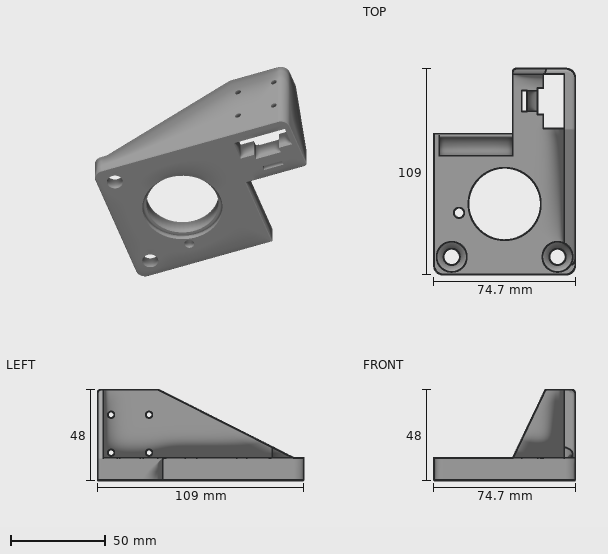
import cadquery as cq

width = 74.7
length = 109.0
height = 48.0

plate_height = 12.0
plate_length = 74.5
arm_left = 41.6
corner_radius = 5.0
bottom_chamfer = 0.4

side_wall = 6.0
back_wall = 3.0
rim_radius = 2.0
side_slope_top = 76.8
side_slope_foot = 5.3
back_slope_top = 58.9
slope_break_radius = 1.4
edge_bevel_width = 0.1
edge_bevel_height = 0.7

trough_radius = 4.9
lip_radius = 1.0
trough_left = 2.9

bore_diameter = 38.1
relief_diameter = 42.4
relief_depth = 3.0
screw_pitch = 55.9
screw_diameter = 8.5
head_diameter = 16.0
head_recess = 0.5
pin_diameter = 5.3
pin_x = 13.3
pin_y = 32.7

mount_diameter = 3.3
mount_pitch = 20.0
mount_back_y = 101.8
mount_low_z = 14.7

opening_left = 57.9
opening_front = 77.2
step_left = 54.8
step_front = 84.7
step_back = 98.6
slot_left = 46.5
slot_foot = 49.1
slot_ridge = 11.3
slot_front = 86.3
slot_back = 97.3

inner_x = width - side_wall
inner_y = length - back_wall
center = width / 2


def block(x0, x1, y0, y1, z0, z1):
    """Axis-aligned box between two opposite corners."""
    return cq.Workplane("XY").box(x1 - x0, y1 - y0, z1 - z0, centered=False).translate((x0, y0, z0))


def make_plate():
    """Wide part of the plate, with rounded front corners and a rounded back edge."""
    plate = block(0, width, 0, plate_length, 0, plate_height).edges("|Z and <Y").fillet(corner_radius)
    return plate.edges(">Y and >Z").fillet(lip_radius)


def make_walled_arm():
    """Narrow arm and both walls, with the outer edges of the walls rounded."""
    slope_run = (side_slope_top - side_slope_foot) / (height - plate_height)
    slope_end = side_slope_top - slope_run * height
    front_profile = [
        (arm_left, 0), (width, 0), (width, height), (back_slope_top, height),
        (arm_left + edge_bevel_width, plate_height), (arm_left, plate_height - edge_bevel_height),
    ]
    side_profile = [(slope_end, 0), (length, 0), (length, height), (side_slope_top, height)]
    arm = cq.Workplane("XZ", origin=(0, length, 0)).polyline(front_profile).close().extrude(length - slope_end)
    side = cq.Workplane("YZ").polyline(side_profile).close().extrude(width)
    arm = arm.intersect(side.faces(">Z").edges("<Y").fillet(slope_break_radius))
    arm = arm.edges("|Z and >X and >Y").fillet(corner_radius)

    top_edges = arm.edges(">Z and (>Y or >X)")
    side_slope_edges = arm.faces(">X").edges("not (|Y or |Z)")
    back_left_edges = arm.faces(">Y").edges("not |X").edges("not >X")
    arm = top_edges.add(side_slope_edges).add(back_left_edges).fillet(rim_radius)

    arm = arm.cut(block(0, inner_x, slope_end, inner_y, plate_height, height))
    return arm.cut(block(0, width, slope_end, center, 0, plate_height))


def make_trough():
    """Round trough along X, with material removed to leave a half-round lip behind it."""
    axis_y = plate_length - 2 * lip_radius - trough_radius
    axis_z = plate_height - lip_radius
    run = arm_left - trough_left
    trough = (
        cq.Workplane("YZ", origin=(trough_left, 0, 0)).center(axis_y, axis_z)
        .circle(trough_radius).extrude(run)
    )
    above = block(trough_left, arm_left, axis_y - trough_radius, plate_length - lip_radius, axis_z, plate_height)
    lip = (
        cq.Workplane("YZ", origin=(trough_left, 0, 0)).center(plate_length - lip_radius, axis_z)
        .circle(lip_radius).extrude(run)
    )
    return trough.union(above).cut(lip)


def make_screw_hole(x, y):
    """Countersunk hole whose head clearance continues upwards through the side wall."""
    head_radius = head_diameter / 2
    screw_radius = screw_diameter / 2
    cone_top = plate_height - head_recess
    cone_bottom = cone_top - (head_radius - screw_radius)
    profile = [
        (0, 0), (screw_radius, 0), (screw_radius, cone_bottom), (head_radius, cone_top),
        (head_radius, height), (0, height),
    ]
    hole = cq.Workplane("XZ").polyline(profile).close().revolve(360, (0, 0, 0), (0, 1, 0))
    return hole.translate((x, y, 0))


def make_opening():
    """Opening beside the side wall, its step and the slot with one sloped side."""
    opening = block(opening_left, inner_x, opening_front, inner_y, 0, plate_height)
    step = block(step_left, opening_left, step_front, step_back, 0, plate_height)
    slot_profile = [
        (slot_left, 0), (slot_foot, 0), (step_left, slot_ridge), (step_left, plate_height), (slot_left, plate_height),
    ]
    slot = cq.Workplane("XZ", origin=(0, slot_back, 0)).polyline(slot_profile).close()
    return opening.union(step).union(slot.extrude(slot_back - slot_front))


body = make_plate().union(make_walled_arm())
body = body.faces("<Z").edges().chamfer(bottom_chamfer)
body = body.cut(make_trough()).cut(make_opening())

bore = cq.Workplane("XY").circle(bore_diameter / 2).extrude(plate_height)
relief = cq.Workplane("XY").circle(relief_diameter / 2).extrude(relief_depth)
body = body.cut(bore.union(relief).translate((center, center, 0)))
body = body.cut(cq.Workplane("XY").center(pin_x, pin_y).circle(pin_diameter / 2).extrude(plate_height))

for side in (-1, 1):
    body = body.cut(make_screw_hole(center + side * screw_pitch / 2, center - screw_pitch / 2))

mount_points = [
    (mount_back_y - i * mount_pitch, mount_low_z + j * mount_pitch) for i in range(2) for j in range(2)
]
mount_holes = cq.Workplane("YZ", origin=(inner_x, 0, 0)).pushPoints(mount_points)
result = body.cut(mount_holes.circle(mount_diameter / 2).extrude(side_wall))